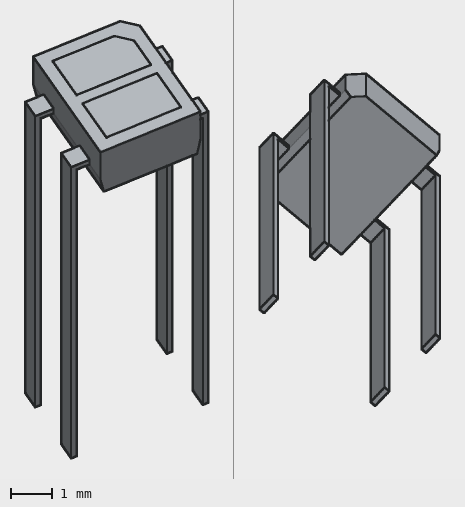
import cadquery as cq

total_height = 11.5
span_across_leads = 3.7

housing_length = 3.4
housing_width = 2.7
housing_height = 1.5
corner_cut = 0.35
taper_inset = 0.09
straight_side_height = 1.0
housing_bottom = total_height - housing_height
taper_start = total_height - straight_side_height

lead_width = 0.51
lead_pitch = 1.82
lead_thickness = 0.15
arm_thickness = 0.17
lead_top = taper_start + arm_thickness

rim = 0.35
window_gap = 0.3
window_depth = 0.46
window_length = (housing_length - 2 * rim - window_gap) / 2
window_width = housing_width - 2 * rim
window_offset = (window_length + window_gap) / 2


def make_shell():
    """Block whose front and back faces taper inward below the leads."""
    half_width = housing_width / 2
    base_half_width = half_width - taper_inset
    profile = [
        (-base_half_width, housing_bottom),
        (base_half_width, housing_bottom),
        (half_width, taper_start),
        (half_width, total_height),
        (-half_width, total_height),
        (-half_width, taper_start),
    ]
    block = (
        cq.Workplane("YZ")
        .polyline(profile)
        .close()
        .extrude(housing_length / 2, both=True)
    )
    left = -housing_length / 2
    corner = (
        cq.Workplane("XY", origin=(0, 0, housing_bottom))
        .polyline([(left, half_width), (left + corner_cut, half_width), (left, half_width - corner_cut)])
        .close()
        .extrude(housing_height)
    )
    return block.cut(corner)


def make_lead(x, side):
    """Bent lead leaving the front (side = -1) or back (side = 1) of the housing."""
    root = side * housing_width / 2
    outside = side * span_across_leads / 2
    inside = outside - side * lead_thickness
    profile = [
        (root, lead_top),
        (outside, lead_top),
        (outside, 0),
        (inside, 0),
        (inside, taper_start),
        (root, taper_start),
    ]
    return (
        cq.Workplane("YZ", origin=(x, 0, 0))
        .polyline(profile)
        .close()
        .extrude(lead_width / 2, both=True)
    )


def make_window(x):
    """Rectangular window set flush with the housing top."""
    return cq.Workplane("XY", origin=(x, 0, total_height)).rect(window_length, window_width).extrude(-window_depth)


left_window = make_window(-window_offset).edges("|Z").edges("<X").edges(">Y").chamfer(corner_cut)
right_window = make_window(window_offset)

housing = make_shell()
for lead_x in (-lead_pitch / 2, lead_pitch / 2):
    for lead_side in (-1, 1):
        housing = housing.union(make_lead(lead_x, lead_side))
housing = housing.cut(left_window).cut(right_window)

result = cq.Compound.makeCompound([housing.val(), left_window.val(), right_window.val()])